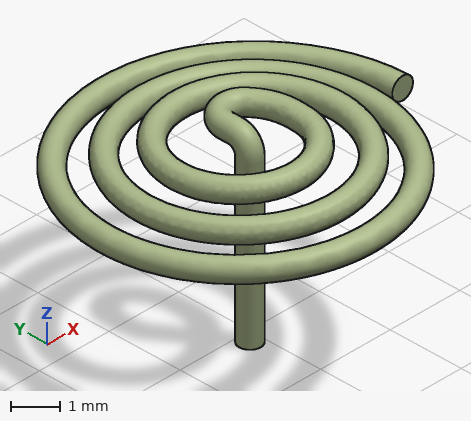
import cadquery as cq
import math

wire_diameter = 0.6

overall_height = 5.21
hook_height = overall_height - wire_diameter / 2

bend_radius = 0.4
straight_end_y = 0.66
hook_radius = 0.5
hook_end_angle = math.radians(39)

spiral_center_y = 0.01
turn_radii = [1.25, 2.38, 3.26, 4.40]
turn_drops = [0.0, 0.29, 0.59, 0.885]
turn_count = len(turn_radii) - 1
points_per_turn = 16


def value_at_turn(values, turn):
    """Linear interpolation between the values at whole turns."""
    index = min(int(turn), turn_count - 1)
    return values[index] + (values[index + 1] - values[index]) * (turn - index)


def spiral_point(turn):
    """Centre-line point after a number of turns, clockwise from +X."""
    radius = value_at_turn(turn_radii, turn)
    angle = -2 * math.pi * turn
    return cq.Vector(
        radius * math.cos(angle),
        spiral_center_y + radius * math.sin(angle),
        hook_height - value_at_turn(turn_drops, turn),
    )


def stem_and_bend():
    """Stem, quarter bend and short straight, as centre-line edges."""
    bend_start_z = hook_height - bend_radius
    foot = cq.Vector(0, 0, 0)
    bend_start = cq.Vector(0, 0, bend_start_z)
    bend_end = cq.Vector(0, bend_radius, hook_height)
    straight_end = cq.Vector(0, straight_end_y, hook_height)
    return [
        cq.Edge.makeLine(foot, bend_start),
        cq.Edge.makeTangentArc(bend_start, cq.Vector(0, 0, 1), bend_end),
        cq.Edge.makeLine(bend_end, straight_end),
    ]


def hook_point(angle):
    """Point on the hook arc, with the angle measured from +X."""
    return cq.Vector(
        hook_radius + hook_radius * math.cos(angle),
        straight_end_y + hook_radius * math.sin(angle),
        hook_height,
    )


def hook_and_spiral():
    """Flat hook, blend curve and spiral, as centre-line edges."""
    hook_start = hook_point(math.pi)
    hook_end = hook_point(hook_end_angle)
    hook_end_direction = cq.Vector(math.sin(hook_end_angle), -math.cos(hook_end_angle), 0)
    hook = cq.Edge.makeTangentArc(hook_start, cq.Vector(0, 1, 0), hook_end)

    steps = turn_count * points_per_turn
    turns = [step / points_per_turn for step in range(steps + 1)]
    points = [spiral_point(turn) for turn in turns]

    end_direction = cq.Vector(0, -1, 0)
    spiral = cq.Edge.makeSpline(
        points,
        tangents=[
            end_direction * (2 * math.pi * turn_radii[0]),
            end_direction * (2 * math.pi * turn_radii[-1]),
        ],
        parameters=turns,
        scale=False,
    )
    blend = cq.Edge.makeSpline(
        [hook_end, points[0]],
        tangents=[hook_end_direction, end_direction],
    )
    return [hook, blend, spiral]


center_line = cq.Wire.assembleEdges(stem_and_bend() + hook_and_spiral())
result = cq.Workplane("XY").circle(wire_diameter / 2).sweep(cq.Workplane(center_line))